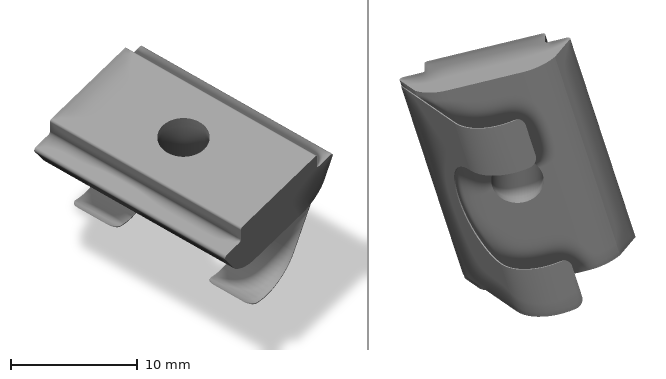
import cadquery as cq
import math

length = 19.0
body_width = 14.0
body_height = 5.2
neck_width = 9.9
step_depth = 1.54
edge_radius = 0.2
lip_radius = 0.27
flank_angle = math.radians(30)
flank_bottom = 4.05
belly_radius = 3.6
hole_diameter = 4.15

spring_width = 18.03
spring_thickness = 0.1
spring_top = 2.0
spring_bottom = 11.7
bend_radius = 4.1
tip_angle = math.radians(30)
tip_corner_radius = 0.8
window_diameter = 9.0


def polar(center, radius, angle):
    """Point on a circle in the YZ plane, with the angle measured from +Y."""
    return (center[0] + radius * math.cos(angle), center[1] + radius * math.sin(angle))


lip_center = (body_width / 2 - lip_radius, -step_depth - lip_radius)
flank_start = polar(lip_center, lip_radius, -flank_angle)


def flank_point(depth):
    """Point on the plane of the +Y flank at the given depth below the top face."""
    return (flank_start[0] - (flank_start[1] + depth) * math.tan(flank_angle), -depth)


def make_body():
    half_neck = neck_width / 2
    lip_middle = polar(lip_center, lip_radius, (math.pi / 2 - flank_angle) / 2)
    flank_end = flank_point(flank_bottom)

    rise = body_height - flank_bottom
    belly_edge = flank_end[0] - math.sqrt(belly_radius**2 - (belly_radius - rise) ** 2)

    half = (
        cq.Workplane("YZ", origin=(-length / 2, 0, 0))
        .lineTo(half_neck - edge_radius, 0)
        .radiusArc((half_neck, -edge_radius), edge_radius)
        .lineTo(half_neck, edge_radius - step_depth)
        .radiusArc((half_neck + edge_radius, -step_depth), -edge_radius)
        .lineTo(lip_center[0], -step_depth)
        .threePointArc(lip_middle, flank_start)
        .lineTo(*flank_end)
        .radiusArc((belly_edge, -body_height), belly_radius)
        .lineTo(0, -body_height)
        .close()
        .extrude(length)
    )
    return half.union(half.mirror("XZ"))


def make_spring():
    inner_radius = bend_radius - spring_thickness

    tangent_angle = -flank_angle
    lowest_angle = -math.pi / 2
    end_angle = lowest_angle - tip_angle
    normal = polar((0, 0), spring_thickness, tangent_angle)

    center_z = bend_radius - spring_bottom
    bend_start = flank_point(-center_z - inner_radius * math.sin(tangent_angle))
    center = (bend_start[0] - inner_radius * math.cos(tangent_angle), center_z)
    top_inner = flank_point(spring_top)
    top_outer = (top_inner[0] + normal[0], top_inner[1] + normal[1])

    strip = (
        cq.Workplane("YZ", origin=(-spring_width / 2, 0, 0))
        .moveTo(*top_inner)
        .lineTo(*bend_start)
        .threePointArc(
            polar(center, inner_radius, lowest_angle),
            polar(center, inner_radius, end_angle),
        )
        .lineTo(*polar(center, bend_radius, end_angle))
        .threePointArc(
            polar(center, bend_radius, lowest_angle),
            polar(center, bend_radius, tangent_angle),
        )
        .lineTo(*top_outer)
        .close()
        .extrude(spring_width)
    )

    sloping_plane = cq.Plane(
        origin=(0, *bend_start),
        xDir=(1, 0, 0),
        normal=(0, math.cos(flank_angle), -math.sin(flank_angle)),
    )
    round_end = (
        cq.Workplane(sloping_plane)
        .circle(window_diameter / 2)
        .extrude(2 * spring_thickness, both=True)
    )
    leg_gap = (
        cq.Workplane("XY", origin=(0, 0, -spring_bottom))
        .rect(window_diameter, body_width)
        .extrude(spring_bottom + bend_start[1])
    )
    legs = strip.cut(round_end).cut(leg_gap)

    tip_y, tip_z = polar(center, bend_radius, end_angle)
    tip_box = cq.selectors.BoxSelector(
        (-length, tip_y - spring_thickness, tip_z - spring_thickness),
        (length, tip_y + spring_thickness, tip_z + 2 * spring_thickness),
    )
    tip_corners = legs.edges(tip_box).edges("#X")
    return tip_corners.fillet(tip_corner_radius)


hole = cq.Workplane("XY").circle(hole_diameter / 2).extrude(-body_height)
result = make_body().cut(hole).union(make_spring())